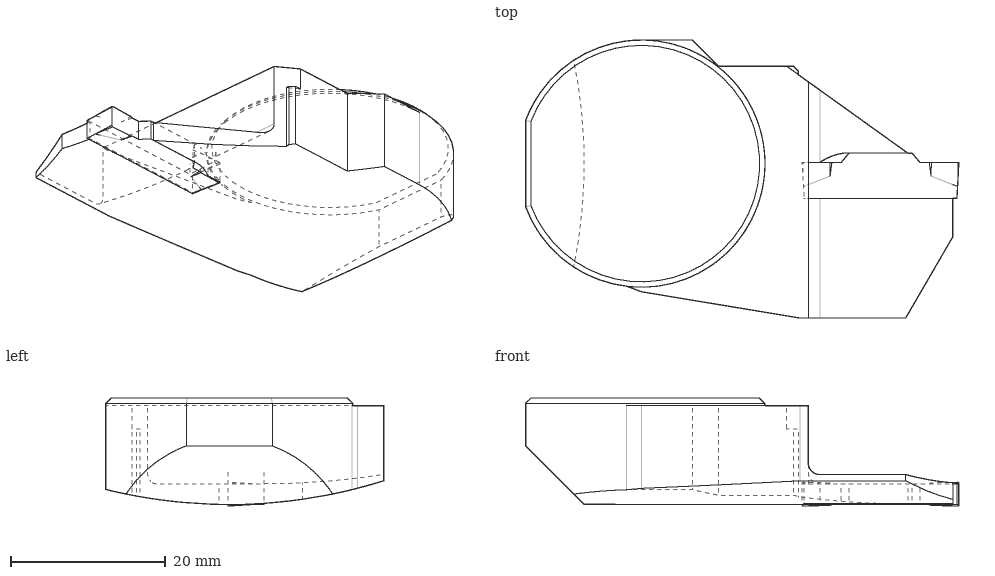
import cadquery as cq
import math


disc_radius = 16.0
disc_top = 14.0
disc_chamfer = 0.7
disc_flat_x = -15.0
body_top = 13.0
floor_z = 0.2
underside_radius = 66.5
back_bevel_height = 7.8

wall_x = 21.6
wall_fillet = 1.5
front_y = -20.0
rear_y = 12.6
rear_shoulder_x = 10.0
rear_shoulder_step = disc_radius - rear_y
front_corner_x = 20.5
front_bend = (0.0, -16.6)
front_tangent_x = -1.9
rear_slope_start_x = 18.8

blade_end_x = 40.3
blade_end_y = -9.5
blade_nose_x = 34.2
blade_edge_top = 4.1

insert_tip_x = 41.1
insert_length = 20.3
insert_mid_x = insert_tip_x - insert_length / 2
insert_bottom_y = -4.5
insert_face_y = 0.15
insert_hump_y = insert_face_y + 1.2
insert_width = 3.1
side_relief = 0.2
end_relief = 0.25
hump_half_base = 5.1
hump_half_top = 4.1
blade_top = insert_width - side_relief
hump_seat_x = insert_mid_x - hump_half_top

pad_length = 3.85
pad_inner_slant = 0.25
pad_inner_depth = 1.9
pad_inner_height = 0.1
pad_end_relief = 0.17
pad_end_depth = 3.1
pad_back_slope = 0.025
pad_bottom_slope = 0.0625
tip_corner_radius = 0.2

rear_slope_end_x = 34.5

gap_middle_run = 1.4
gap_middle_rise = 0.75
gap_land = 0.6

rib_end_x = 20.3
rib_chamfer = 0.6
rib_depth = 1.6
rib_top = 10.0

margin = 5.0
insert_half = insert_length / 2


def underside_z(y):
    return floor_z + underside_radius - math.sqrt(underside_radius**2 - y**2)


def make_outline():
    """Vertical prism of body and blade, without the disc."""
    tangent_y = -math.sqrt(disc_radius**2 - front_tangent_x**2)
    return (
        cq.Workplane("XY")
        .moveTo(0, disc_radius)
        .lineTo(rear_shoulder_x - rear_shoulder_step, disc_radius)
        .lineTo(rear_shoulder_x, rear_y)
        .lineTo(rear_slope_start_x, rear_y)
        .lineTo(rear_slope_end_x, insert_hump_y)
        .lineTo(rear_slope_end_x, insert_bottom_y)
        .lineTo(blade_end_x, insert_bottom_y)
        .lineTo(blade_end_x, blade_end_y)
        .lineTo(blade_nose_x, front_y)
        .lineTo(front_corner_x, front_y)
        .lineTo(*front_bend)
        .lineTo(front_tangent_x, tangent_y)
        .close()
        .extrude(body_top)
    )


def make_disc():
    """Round clamping head with a flat at the back and a chamfered rim."""
    half_flat = math.sqrt(disc_radius**2 - disc_flat_x**2)
    return (
        cq.Workplane("XY")
        .moveTo(disc_flat_x, half_flat)
        .threePointArc((disc_radius, 0), (disc_flat_x, -half_flat))
        .close()
        .extrude(disc_top)
        .faces(">Z")
        .chamfer(disc_chamfer)
    )


def make_rib():
    """Short rib low on the rear side, ending just past the start of the sloping edge."""
    return (
        cq.Workplane("XY")
        .moveTo(rear_slope_start_x - rib_depth, rear_y)
        .lineTo(rib_end_x - rib_chamfer, rear_y)
        .lineTo(rib_end_x, rear_y - rib_chamfer)
        .lineTo(rib_end_x, rear_y - rib_depth)
        .lineTo(rear_slope_start_x - rib_depth, rear_y - rib_depth)
        .close()
        .extrude(rib_top)
    )


def make_space_above_blade():
    """Space over the blade: flat towards the rear, curving up to the front edge."""
    run = insert_bottom_y - front_y
    rise = blade_edge_top - blade_top
    radius = (run**2 + rise**2) / (2 * rise)
    half_run = run / 2
    half_rise = radius - math.sqrt(radius**2 - half_run**2)
    return (
        cq.Workplane("YZ", origin=(wall_x, 0, 0))
        .moveTo(disc_radius, blade_top)
        .lineTo(insert_bottom_y, blade_top)
        .threePointArc((insert_bottom_y - half_run, blade_top + half_rise), (front_y, blade_edge_top))
        .lineTo(front_y, disc_top)
        .lineTo(disc_radius, disc_top)
        .close()
        .extrude(blade_end_x - wall_x + margin)
        .edges("<X and |Y")
        .edges("<Z")
        .fillet(wall_fillet)
    )


def make_underside_envelope():
    """Everything above the convex underside, with the bevel below the back flat."""
    left = disc_flat_x - margin
    envelope = (
        cq.Workplane("YZ", origin=(left, 0, 0))
        .moveTo(front_y, underside_z(front_y))
        .threePointArc((0, floor_z), (-front_y, underside_z(-front_y)))
        .lineTo(-front_y, disc_top)
        .lineTo(front_y, disc_top)
        .close()
        .extrude(blade_end_x - left + margin)
    )
    bevel = (
        cq.Workplane("XZ")
        .moveTo(disc_flat_x, back_bevel_height)
        .lineTo(disc_flat_x + back_bevel_height, 0)
        .lineTo(disc_flat_x, 0)
        .close()
        .extrude(disc_radius + margin, both=True)
    )
    return envelope.cut(bevel)


def make_seat_gap():
    """Open gap in the blade behind the insert hump, with a curved rear edge."""
    gap_start_x = wall_x + wall_fillet
    gap_middle = (gap_start_x + gap_middle_run, insert_face_y + gap_middle_rise)
    return (
        cq.Workplane("XY")
        .moveTo(gap_start_x, insert_face_y)
        .threePointArc(gap_middle, (hump_seat_x - gap_land, insert_hump_y))
        .lineTo(hump_seat_x, insert_hump_y)
        .lineTo(insert_mid_x - hump_half_base, insert_face_y)
        .close()
        .extrude(disc_top)
    )


def make_insert_prism(width):
    """Double-ended insert profile with a hump in the middle, centred on its own length."""
    half_bottom = insert_half - end_relief
    return (
        cq.Workplane("XY")
        .moveTo(-insert_half, insert_face_y)
        .lineTo(-hump_half_base, insert_face_y)
        .lineTo(-hump_half_top, insert_hump_y)
        .lineTo(hump_half_top, insert_hump_y)
        .lineTo(hump_half_base, insert_face_y)
        .lineTo(insert_half, insert_face_y)
        .lineTo(half_bottom, insert_bottom_y)
        .lineTo(-half_bottom, insert_bottom_y)
        .close()
        .extrude(width / 2, both=True)
    )


def cut_above(solid, point, normal):
    """Remove what lies on the normal's side of a sloping plane through the point."""
    plane = cq.Plane(origin=point, normal=normal)
    reach = 2 * insert_length
    return solid.cut(cq.Workplane(plane).rect(reach, reach).extrude(reach))


def make_tip_pad():
    """Raised side of one cutting tip, sloping down to the shank towards its back and bottom."""
    top_z = insert_width / 2
    shank_z = top_z - side_relief
    inner_x = insert_half - pad_length
    inner_corner = (inner_x + pad_inner_slant, insert_face_y - pad_inner_depth)
    pad = (
        cq.Workplane("XY")
        .moveTo(insert_half, insert_face_y)
        .lineTo(inner_x, insert_face_y)
        .lineTo(*inner_corner)
        .lineTo(insert_half - pad_end_relief, insert_face_y - pad_end_depth)
        .close()
        .extrude(top_z)
    )
    pad = cut_above(pad, (insert_half, insert_face_y, top_z), (-pad_back_slope, -pad_bottom_slope, 1))
    inner_line = cq.Vector(-pad_inner_slant, pad_inner_depth, 0)
    inner_rise = cq.Vector(pad_inner_slant, 0, pad_inner_height)
    return cut_above(pad, (*inner_corner, shank_z), inner_rise.cross(inner_line).toTuple())


def make_insert_seat():
    """Clearance that keeps the blade and its fillet off the insert in front of the wall."""
    seat = make_insert_prism(2 * disc_top).translate((insert_mid_x, 0, 0))
    front_space = (
        cq.Workplane("YZ", origin=(wall_x, 0, 0))
        .rect(2 * disc_radius, 2 * disc_top)
        .extrude(insert_length)
    )
    return seat.intersect(front_space)


def make_rounded_ends():
    """Bar with rounded corners that tapers along the insert's end faces."""
    depth = insert_hump_y - insert_bottom_y
    taper = end_relief / (insert_face_y - insert_bottom_y)
    top_length = insert_length + 2 * taper * (insert_hump_y - insert_face_y)
    bottom_length = insert_length - 2 * end_relief
    top = cq.Sketch().rect(top_length, insert_width).vertices().fillet(tip_corner_radius)
    bottom = cq.Sketch().rect(bottom_length, insert_width).vertices().fillet(tip_corner_radius)
    return (
        cq.Workplane("XZ", origin=(0, insert_hump_y, 0))
        .placeSketch(top, bottom.moved(cq.Location(cq.Vector(0, 0, depth))))
        .loft()
    )


def make_insert():
    insert = make_insert_prism(insert_width - 2 * side_relief)
    right_pad = make_tip_pad()
    for pad in (right_pad, right_pad.mirror("YZ")):
        insert = insert.union(pad).union(pad.mirror("XY"))
    insert = insert.intersect(make_rounded_ends())
    return insert.translate((insert_mid_x, 0, insert_width / 2))


insert = make_insert()

holder = make_outline().cut(make_space_above_blade())
holder = holder.union(make_disc()).union(make_rib())
holder = holder.intersect(make_underside_envelope())
holder = holder.cut(make_seat_gap()).cut(make_insert_seat()).cut(insert)

result = cq.Compound.makeCompound([holder.val(), insert.val()])